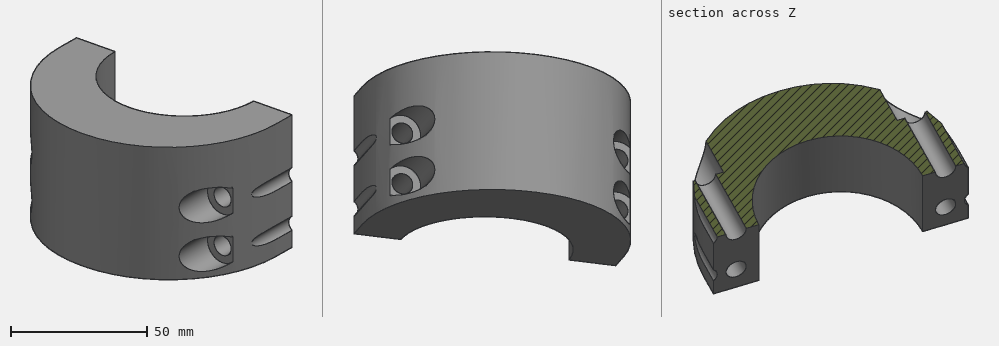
import cadquery as cq

width = 101.0
depth = 59.8
height = 54.5
crown_flat = 1.0
bore_radius = 32.4

bolt_diameter = 8.0
counterbore_diameter = 14.0
counterbore_floor = 29.7
bolt_x = 41.5
bolt_bottom_z = 9.6

groove_diameter = 7.0
groove_depth = 1.5
groove_bottom_z = 9.9

row_pitch = 20.0

half_width = width / 2
half_flat = crown_flat / 2
outer_radius = half_width - half_flat
arc_start_y = outer_radius - depth
groove_x = half_width - groove_depth + groove_diameter / 2


def make_body():
    """Extrude the straight-sided half collar with its central bore."""
    profile = (
        cq.Workplane("XY")
        .moveTo(-half_width, 0)
        .lineTo(-half_width, arc_start_y)
        .radiusArc((-half_flat, -depth), -outer_radius)
        .lineTo(half_flat, -depth)
        .radiusArc((half_width, arc_start_y), -outer_radius)
        .lineTo(half_width, 0)
        .lineTo(bore_radius, 0)
        .radiusArc((-bore_radius, 0), bore_radius)
        .close()
    )
    return profile.extrude(height)


def y_cylinders(diameter, x, bottom_z, start):
    """Two rows of mirrored cylinders from y = -start to the front of the body."""
    rows = [bottom_z, bottom_z + row_pitch]
    centres = [(side * x, z) for side in (-1, 1) for z in rows]
    return (
        cq.Workplane("XZ", origin=(0, -start, 0))
        .pushPoints(centres)
        .circle(diameter / 2)
        .extrude(depth - start)
    )


bolt_holes = y_cylinders(bolt_diameter, bolt_x, bolt_bottom_z, 0)
counterbores = y_cylinders(counterbore_diameter, bolt_x, bolt_bottom_z, counterbore_floor)
grooves = y_cylinders(groove_diameter, groove_x, groove_bottom_z, 0)

result = make_body().cut(bolt_holes).cut(counterbores).cut(grooves)